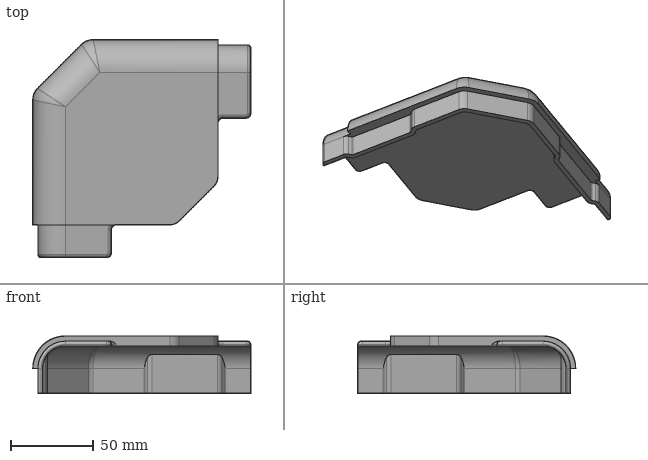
import cadquery as cq
import math


span = 133.0
total_height = 35.0
cover_length = 113.0
skirt_height = 15.0
plate = 6.0
liner_inset = 3.2
liner_thickness = plate - liner_inset
roll_radius = total_height - skirt_height

corner_leg = 32.7
corner_turn = math.radians(45)
mitre_radius = 10.0
corner_reach = 50.0

open_cut_leg = 26.0
open_cut_radius = 8.0

tongue_side = 48.0
tongue_corner_radius = 3.0
tongue_root_radius = 3.0
tongue_edge_radius = 2.0
tongue_overlap = 3.0

jog_start = 67.8
jog_end = 117.6
jog_angle = math.radians(45)
jog_depth = 3.0
jog_tight_radius = 1.0
jog_wide_radius = jog_tight_radius + liner_thickness

symmetry_normal = (1, 1, 0)
tolerance = 0.1


def with_mirror_image(body):
    """The body joined with its mirror image across the symmetry plane."""
    return body.union(body.mirror(symmetry_normal))


def box_between(low, high):
    """Selector for edges that lie wholly between two corners."""
    return cq.selectors.BoxSelector(low, high, boundingbox=True)


def dome(inset):
    """Solid inside the outer surface moved inwards by the inset, running out to the tongue ends."""
    leg = corner_leg + inset * math.tan(corner_turn / 2)
    top = total_height - inset
    corners = [(inset, -span), (inset, -leg), (leg, -inset), (span, -inset), (span, -span)]
    body = cq.Workplane("XY").polyline(corners).close().extrude(top)

    rolled_edges = cq.selectors.BoxSelector(
        (-tolerance, -span + tolerance, top - tolerance),
        (span - tolerance, tolerance, top + tolerance),
    )
    body = body.edges(rolled_edges).fillet(roll_radius - inset)

    corner_zone = box_between(
        (-tolerance, -corner_reach, -tolerance),
        (corner_reach, tolerance, total_height + tolerance),
    )
    mitres = []
    for edge in body.edges(corner_zone).vals():
        bounds = edge.BoundingBox()
        if bounds.zmax - bounds.zmin > tolerance:
            mitres.append(edge)
    return body.newObject(mitres).fillet(mitre_radius - inset)


def make_cover_block():
    """Square block with the plan of the cover, its open corner cut at 45 degrees and rounded."""
    cut = cover_length - open_cut_leg
    corners = [
        (0, 0),
        (cover_length, 0),
        (cover_length, -cut),
        (cut, -cover_length),
        (0, -cover_length),
    ]
    block = cq.Workplane("XY").polyline(corners).close().extrude(total_height)
    cut_zone = box_between(
        (cut - tolerance, -cover_length - tolerance, -tolerance),
        (cover_length + tolerance, -cut + tolerance, total_height + tolerance),
    )
    return block.edges("|Z").edges(cut_zone).fillet(open_cut_radius)


def make_tongue(liner):
    """Tongue at the +X end, with the part of the wall below it."""
    side = -tongue_side
    flare_end = side - tongue_root_radius
    start = cover_length - tongue_overlap
    tail = flare_end - tongue_overlap
    plan = (
        cq.Workplane("XY")
        .moveTo(start, 0)
        .lineTo(span, 0)
        .lineTo(span, side + tongue_corner_radius)
        .radiusArc((span - tongue_corner_radius, side), tongue_corner_radius)
        .lineTo(cover_length + tongue_root_radius, side)
        .radiusArc((cover_length, flare_end), -tongue_root_radius)
        .lineTo(cover_length, tail)
        .lineTo(start, tail)
        .close()
        .extrude(total_height)
    )
    tongue = liner.intersect(plan)

    return tongue.faces(">X").edges(">Z").fillet(tongue_edge_radius)


def jog_profile(depth, entry_radius, exit_radius):
    """Plan between a wall line at the given depth and that line stepped inwards over the jog.

    Each end has two opposite arcs joined by a straight slope.
    """
    rise = 1 - math.cos(jog_angle)
    entry_dx = entry_radius * math.sin(jog_angle)
    entry_dy = entry_radius * rise
    exit_dx = exit_radius * math.sin(jog_angle)
    exit_dy = exit_radius * rise
    slope_dx = (jog_depth - entry_dy - exit_dy) / math.tan(jog_angle)

    slope_start = entry_dx
    slope_end = slope_start + slope_dx
    floor_start = slope_end + exit_dx
    floor = -depth - jog_depth
    return (
        cq.Workplane("XY")
        .moveTo(jog_start, -depth)
        .radiusArc((jog_start + slope_start, -depth - entry_dy), entry_radius)
        .lineTo(jog_start + slope_end, floor + exit_dy)
        .radiusArc((jog_start + floor_start, floor), -exit_radius)
        .lineTo(jog_end - floor_start, floor)
        .radiusArc((jog_end - slope_end, floor + exit_dy), -exit_radius)
        .lineTo(jog_end - slope_start, -depth - entry_dy)
        .radiusArc((jog_end, -depth), entry_radius)
        .close()
    )


def jog_step(liner_block):
    """Inward step of the wall, reaching up to the underside of the cover."""
    step = jog_profile(plate, jog_tight_radius, jog_wide_radius).extrude(total_height)
    return with_mirror_image(step.intersect(liner_block))


def jog_recess():
    """Matching clearance in the outside of the skirt, below the cover rim."""
    recess = jog_profile(liner_inset, jog_wide_radius, jog_tight_radius).extrude(skirt_height)
    return with_mirror_image(recess)


outer_body = dome(0)
liner_block = dome(liner_inset)
cavity = dome(plate)
liner = liner_block.cut(cavity)

cover_block = make_cover_block()
below_rim = cq.Workplane("XY").rect(2 * span, 2 * span).extrude(skirt_height)

cover = outer_body.cut(cavity).cut(below_rim).intersect(cover_block)
skirt = liner.intersect(cover_block)
tongues = with_mirror_image(make_tongue(liner))

result = (
    cover
    .union(skirt)
    .union(tongues)
    .union(jog_step(liner_block))
    .cut(jog_recess())
)